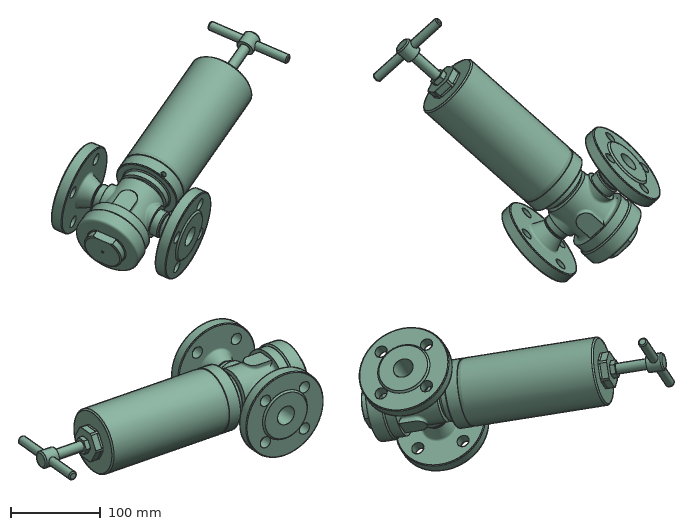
import cadquery as cq
import math


Y_PLUG_END = -66.3
Y_PLUG_FACE = -56.5
Y_RING_BOTTOM = -37.5
Y_RING_TOP = -25.5
Y_BODY_TOP = 23.0
Y_BONNET_BASE = 27.5
Y_COLLAR_BOTTOM = 35.5
Y_TUBE_BOTTOM = 51.0
Y_TUBE_TOP = 210.0
Y_GUIDE_TOP = 220.0
Y_LOCK_TOP = 225.8
Y_HEAD_BOTTOM = 262.2
Y_HEAD_TOP = 280.5

BODY_R = 29.0
GROOVE_R = 25.0
SHOULDER_HEIGHT = 1.5
RING_R = 37.5
RING_FILLET = 3.5
BOSS_R = 19.0
BOSS_END = 32.0
BOSS_FILLET = 2.5
STUB_R = 15.3
STUB_END = 42.0
STUB_CHAMFER = 1.5
BORE_R = 7.3
PAD_TOP = 32.5
PAD_HALF_WIDTH = 11.0
PAD_CENTER_Y = -8.0
PAD_FILLET = 2.8

FLANGE_END = 75.0
FACE_HEIGHT = 2.0
FACE_R = 28.5
FACE_BASE_R = 30.5
FLANGE_DIAMETER = 105.0
FLANGE_R = FLANGE_DIAMETER / 2
FLANGE_THICKNESS = 16.0
FLANGE_CHAMFER = 1.0
HUB_R = 20.8
HUB_FILLET = 2.8
NECK_R = STUB_R - STUB_CHAMFER
NECK_LENGTH = 1.5
MOUTH_R = 11.5
BOLT_CIRCLE_R = 37.5
BOLT_HOLE_R = 7.0
BOLT_COUNT = 4
BOLT_START_ANGLE = 45

PLUG_R = 39.5
PLUG_CHAMFER = 1.7
PLUG_FILLET = 2.8
KEY_R = 23.5
KEY_ACROSS_FLATS = 40.2
KEY_FLARE = 1.0
KEY_CHAMFER_RADIAL = 1.7
KEY_CHAMFER_HEIGHT = 1.0
CENTER_HOLE_R = 1.5
CENTER_HOLE_DEPTH = 1.7

BONNET_R = 38.5
COLLAR_CHAMFER = 1.0
NECK_FLARE = 1.5
SCREW_HOLE_R = 3.02
SCREW_HOLE_DEPTH = 7.0
SCREW_HOLE_Y = 40.0
SCREW_HOLE_ANGLE = 30
TUBE_CHAMFER = 1.7
TUBE_TAPER_LENGTH = 4.0
TUBE_TAPER_DEPTH = 1.0

GUIDE_ACROSS_FLATS = 36.0
GUIDE_R = 20.0
GUIDE_FLARE = 0.7
GUIDE_FLARE_HEIGHT = 2.0
LOCK_ACROSS_FLATS = 17.5
LOCK_CHAMFER = 0.52
SPINDLE_R = 6.07
HEAD_R = 10.0
HEAD_CHAMFER = 1.7
HANDLE_Y = 271.5
HANDLE_R = 5.2
HANDLE_LENGTH = 100.0
HANDLE_CHAMFER = 1.5


def turned_about_y(profile):
    """Revolve (radius, y) points about the spindle axis."""
    return cq.Workplane("XY").polyline(profile).close().revolve(360, (0, 0, 0), (0, 1, 0))


def turned_about_x(profile):
    """Revolve (x, radius) points about the pipe axis."""
    return cq.Workplane("XY").polyline(profile).close().revolve(360, (0, 0, 0), (1, 0, 0))


def cylinder_y(radius, bottom, top):
    return cq.Workplane("XZ", origin=(0, bottom, 0)).circle(radius).extrude(bottom - top)


def cylinder_x(radius, start, end):
    return cq.Workplane("YZ", origin=(start, 0, 0)).circle(radius).extrude(end - start)


def corner_diameter(across_flats):
    """Diameter across the corners of a regular hexagon."""
    return across_flats / math.cos(math.radians(30))


def hexagon_y(across_flats, bottom, top):
    """Hexagonal prism along Y with flats facing up and down."""
    outline = cq.Workplane("XZ", origin=(0, bottom, 0)).polygon(6, corner_diameter(across_flats))
    return outline.extrude(bottom - top)


def make_pad():
    """Flat-topped pad on the upper side, with a round end, rising from the bottom ring."""
    length = PAD_CENTER_Y - Y_RING_BOTTOM
    disc = cq.Workplane("XY").center(0, PAD_CENTER_Y).circle(PAD_HALF_WIDTH).extrude(PAD_TOP)
    block = (
        cq.Workplane("XY")
        .center(0, PAD_CENTER_Y - length / 2)
        .rect(2 * PAD_HALF_WIDTH, length)
        .extrude(PAD_TOP)
    )
    return disc.union(block)


def make_ring():
    """Bottom ring of the valve body, with a rounded root against the barrel."""
    arc_offset = RING_FILLET * (1 - math.cos(math.radians(45)))
    return (
        cq.Workplane("XY")
        .moveTo(0, Y_RING_BOTTOM)
        .lineTo(RING_R, Y_RING_BOTTOM)
        .lineTo(RING_R, Y_RING_TOP)
        .lineTo(BODY_R + RING_FILLET, Y_RING_TOP)
        .threePointArc(
            (BODY_R + arc_offset, Y_RING_TOP + arc_offset),
            (BODY_R, Y_RING_TOP + RING_FILLET),
        )
        .lineTo(0, Y_RING_TOP + RING_FILLET)
        .close()
        .revolve(360, (0, 0, 0), (0, 1, 0))
    )


def make_valve_body():
    """Barrel with a ring below, a pad on two sides and a bored pipe stub at each end."""
    barrel = cylinder_y(BODY_R, Y_RING_BOTTOM, Y_BODY_TOP)
    bossed = barrel.union(cylinder_x(BOSS_R, -BOSS_END, BOSS_END))
    bossed = bossed.edges("%BSPLINE").fillet(BOSS_FILLET)

    pad = make_pad()
    padded = barrel.union(pad).union(pad.rotate((0, 0, 0), (0, 1, 0), 180))
    padded = padded.edges("%BSPLINE").fillet(PAD_FILLET)

    shoulder = turned_about_y([
        (0, Y_BODY_TOP),
        (BODY_R, Y_BODY_TOP),
        (GROOVE_R, Y_BODY_TOP + SHOULDER_HEIGHT),
        (GROOVE_R, Y_BONNET_BASE),
        (0, Y_BONNET_BASE),
    ])
    stub = cylinder_x(STUB_R, -STUB_END, STUB_END).faces("<X or >X").chamfer(STUB_CHAMFER)
    body = padded.union(make_ring()).union(bossed).union(shoulder).union(stub)
    return body.cut(cylinder_x(BORE_R, -STUB_END, STUB_END))


def make_flange():
    """Weld-neck flange on the -X side, with a tapered mouth and a ring of bolt holes."""
    plate_start = -FLANGE_END + FACE_HEIGHT
    plate_end = -FLANGE_END + FLANGE_THICKNESS
    plate = cylinder_x(FLANGE_R, plate_start, plate_end).faces("<X or >X").chamfer(FLANGE_CHAMFER)
    hub = turned_about_x([
        (-FLANGE_END, 0),
        (-FLANGE_END, FACE_R),
        (plate_start, FACE_BASE_R),
        (plate_start, HUB_R),
        (plate_end, HUB_R),
        (-STUB_END - NECK_LENGTH, NECK_R),
        (-STUB_END, NECK_R),
        (-STUB_END, 0),
    ])
    margin = 0.5
    reach = HUB_R + margin
    hub_root = cq.selectors.BoxSelector(
        (plate_end - margin, -reach, -reach),
        (plate_end + margin, reach, reach),
        True,
    )
    flange = plate.union(hub).edges(hub_root).fillet(HUB_FILLET)
    mouth = turned_about_x([
        (-FLANGE_END, 0),
        (-FLANGE_END, MOUTH_R),
        (-STUB_END, BORE_R),
        (-STUB_END, 0),
    ])
    bolt_holes = (
        cq.Workplane("YZ", origin=(-FLANGE_END, 0, 0))
        .polarArray(BOLT_CIRCLE_R, BOLT_START_ANGLE, 360, BOLT_COUNT)
        .circle(BOLT_HOLE_R)
        .extrude(FLANGE_THICKNESS)
    )
    return flange.cut(mouth).cut(bolt_holes)


def make_plug():
    """Bottom plug with two wrench flats and a centre mark."""
    disc = cylinder_y(PLUG_R, Y_PLUG_FACE, Y_RING_BOTTOM)
    disc = disc.faces(">Y").chamfer(PLUG_CHAMFER).faces("<Y").edges().fillet(PLUG_FILLET)
    key = turned_about_y([
        (0, Y_PLUG_END),
        (KEY_R - KEY_CHAMFER_RADIAL, Y_PLUG_END),
        (KEY_R, Y_PLUG_END + KEY_CHAMFER_HEIGHT),
        (KEY_R, Y_PLUG_FACE - KEY_FLARE),
        (KEY_R + KEY_FLARE, Y_PLUG_FACE),
        (0, Y_PLUG_FACE),
    ])
    flats = cq.Workplane("XY").box(2 * PLUG_R, 2 * -Y_PLUG_END, KEY_ACROSS_FLATS)
    center_hole = cylinder_y(CENTER_HOLE_R, Y_PLUG_END, Y_PLUG_END + CENTER_HOLE_DEPTH)
    return disc.union(key.intersect(flats)).cut(center_hole)


def make_bonnet_base():
    """Collar and neck that carry the spring tube, with a side screw hole in the collar."""
    collar = cylinder_y(BONNET_R, Y_COLLAR_BOTTOM, Y_TUBE_BOTTOM).faces("<Y").chamfer(COLLAR_CHAMFER)
    neck = turned_about_y([
        (0, Y_BONNET_BASE),
        (BODY_R, Y_BONNET_BASE),
        (BODY_R, Y_COLLAR_BOTTOM - NECK_FLARE),
        (BODY_R + NECK_FLARE, Y_COLLAR_BOTTOM),
        (0, Y_COLLAR_BOTTOM),
    ])
    screw_hole = (
        cq.Workplane("XY", origin=(0, SCREW_HOLE_Y, BONNET_R - SCREW_HOLE_DEPTH))
        .circle(SCREW_HOLE_R)
        .extrude(2 * SCREW_HOLE_DEPTH)
        .rotate((0, 0, 0), (0, 1, 0), SCREW_HOLE_ANGLE)
    )
    return collar.union(neck).cut(screw_hole)


def make_spring_tube():
    """Long cylinder, slightly tapered where it meets the collar and chamfered at the top."""
    return turned_about_y([
        (0, Y_TUBE_BOTTOM),
        (BONNET_R - TUBE_TAPER_DEPTH, Y_TUBE_BOTTOM),
        (BONNET_R, Y_TUBE_BOTTOM + TUBE_TAPER_LENGTH),
        (BONNET_R, Y_TUBE_TOP - TUBE_CHAMFER),
        (BONNET_R - TUBE_CHAMFER, Y_TUBE_TOP),
        (0, Y_TUBE_TOP),
    ])


def make_guide_nut():
    """Hexagon with turned-down corners and flared lower flats, bored for the spindle."""
    flare_angle = math.degrees(math.atan(GUIDE_FLARE / GUIDE_FLARE_HEIGHT))
    flare = (
        cq.Workplane("XZ", origin=(0, Y_TUBE_TOP, 0))
        .polygon(6, corner_diameter(GUIDE_ACROSS_FLATS + 2 * GUIDE_FLARE))
        .extrude(-GUIDE_FLARE_HEIGHT, taper=flare_angle)
    )
    hexagon = hexagon_y(GUIDE_ACROSS_FLATS, Y_TUBE_TOP, Y_GUIDE_TOP).union(flare)
    nut = hexagon.intersect(cylinder_y(GUIDE_R, Y_TUBE_TOP, Y_GUIDE_TOP))
    return nut.cut(cylinder_y(SPINDLE_R, Y_TUBE_TOP, Y_GUIDE_TOP))


def make_lock_nut():
    """Hexagon with its lower corners chamfered, bored for the spindle."""
    corner_r = corner_diameter(LOCK_ACROSS_FLATS) / 2
    blank = cylinder_y(corner_r, Y_GUIDE_TOP, Y_LOCK_TOP).faces("<Y").chamfer(LOCK_CHAMFER)
    nut = hexagon_y(LOCK_ACROSS_FLATS, Y_GUIDE_TOP, Y_LOCK_TOP).intersect(blank)
    return nut.cut(cylinder_y(SPINDLE_R, Y_GUIDE_TOP, Y_LOCK_TOP))


def make_spindle():
    """Spindle shaft with a cross-drilled head."""
    shaft = cylinder_y(SPINDLE_R, Y_TUBE_TOP, Y_HEAD_BOTTOM)
    head = cylinder_y(HEAD_R, Y_HEAD_BOTTOM, Y_HEAD_TOP).faces(">Y").chamfer(HEAD_CHAMFER)
    cross_hole = cylinder_x(HANDLE_R, -HEAD_R, HEAD_R).translate((0, HANDLE_Y, 0))
    return shaft.union(head).cut(cross_hole)


def make_handle():
    """Round bar through the spindle head, chamfered at both ends."""
    bar = cylinder_x(HANDLE_R, -HANDLE_LENGTH / 2, HANDLE_LENGTH / 2)
    return bar.faces("<X or >X").chamfer(HANDLE_CHAMFER).translate((0, HANDLE_Y, 0))


flanges = [make_flange().rotate((0, 0, 0), (0, 1, 0), turn) for turn in (0, 180)]

result = cq.Compound.makeCompound([
    make_valve_body().val(),
    *[flange.val() for flange in flanges],
    make_plug().val(),
    make_bonnet_base().val(),
    make_spring_tube().val(),
    make_guide_nut().val(),
    make_lock_nut().val(),
    make_spindle().val(),
    make_handle().val(),
])